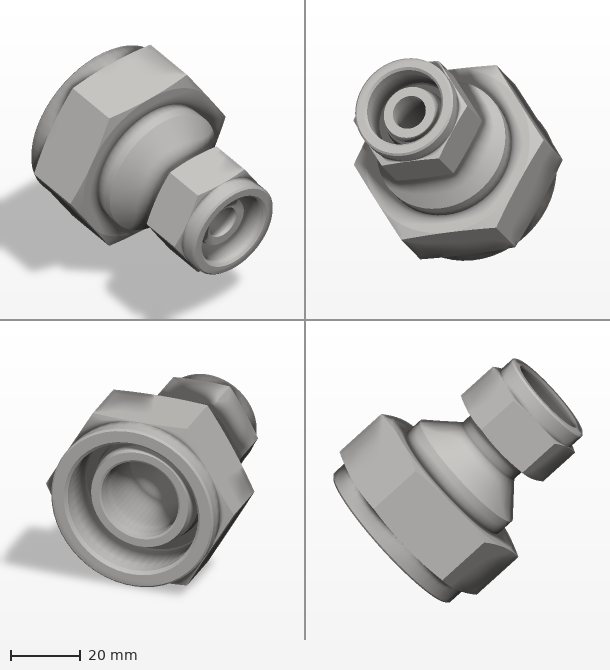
import cadquery as cq
import math

LENGTH = 61.65
THROUGH_BORE_RADIUS = 5.0
SEAT_HALF_ANGLE = math.radians(12)
HEX_CHAMFER_ANGLE = math.radians(15)
THREAD_RUNOUT = 0.45

LARGE_BARREL_RADIUS = 19.55
SMALL_BARREL_RADIUS = 11.0
TAPER_START = 29.45
TAPER_LENGTH = LARGE_BARREL_RADIUS - SMALL_BARREL_RADIUS
LARGE_BORE_RADIUS = 11.85
LARGE_BORE_END = TAPER_START
BORE_BOTTOM_HALF_ANGLE = math.radians(60)
LARGE_BORE_CHAMFER_WIDTH = 0.6
LARGE_BORE_CHAMFER_DEPTH = 0.4

LARGE_TIP_RADIUS = 14.85
LARGE_TIP_DEPTH = 6.2
LARGE_SHOULDER_DEPTH = 15.15
LARGE_GROOVE_START = 3.3
LARGE_GROOVE_WIDTH = 2.45
LARGE_GROOVE_FLOOR_RADIUS = 14.55

SMALL_TIP_RADIUS = 7.75
SMALL_TIP_DEPTH = 4.95
SMALL_SHOULDER_DEPTH = 11.7
SMALL_GROOVE_START = 2.2
SMALL_GROOVE_WIDTH = 2.0
SMALL_GROOVE_FLOOR_RADIUS = 7.4

LARGE_ACROSS_FLATS = 50.0
LARGE_NUT_LENGTH = 24.05
LARGE_COLLAR_LENGTH = 5.55
LARGE_COLLAR_RADIUS = 24.9
LARGE_THREAD_RADIUS = 20.0
LARGE_ENTRY_RADIUS = 20.9

SMALL_ACROSS_FLATS = 30.0
SMALL_NUT_LENGTH = 18.9
SMALL_COLLAR_LENGTH = 5.1
SMALL_COLLAR_RADIUS = 14.9
SMALL_THREAD_RADIUS = 11.35
SMALL_ENTRY_RADIUS = 12.0

COLLAR_CHAMFER = 0.55


def revolve_about_x(points):
    """Turn a closed outline of (x, radius) points about the X axis."""
    return cq.Workplane("XY").polyline(points).close().revolve(360, (0, 0, 0), (1, 0, 0))


def place_at_far_end(shape):
    """Turn a shape built for the -X end around so that it serves the +X end."""
    return shape.rotate((0, 0, 0), (0, 0, 1), 180).translate((LENGTH, 0, 0))


def make_sealing_cone(tip_radius, tip, shoulder, groove_start, groove_width, groove_floor):
    """Cone that widens from its tip to the barrel shoulder, with a seal groove around it."""
    def cone_radius(x):
        return tip_radius + (x - tip) * math.tan(SEAT_HALF_ANGLE)

    groove_near = tip + groove_start
    groove_far = groove_near + groove_width
    return revolve_about_x([
        (tip, 0),
        (tip, tip_radius),
        (groove_near, cone_radius(groove_near)),
        (groove_near, groove_floor),
        (groove_far, groove_floor),
        (groove_far, cone_radius(groove_far)),
        (shoulder, cone_radius(shoulder)),
        (shoulder, 0),
    ])


def make_barrel():
    """Two cylinders joined by a 45 degree taper, ending at the two shoulders."""
    taper_end = TAPER_START + TAPER_LENGTH
    small_shoulder = LENGTH - SMALL_SHOULDER_DEPTH
    return revolve_about_x([
        (LARGE_SHOULDER_DEPTH, 0),
        (LARGE_SHOULDER_DEPTH, LARGE_BARREL_RADIUS),
        (TAPER_START, LARGE_BARREL_RADIUS),
        (taper_end, SMALL_BARREL_RADIUS),
        (small_shoulder, SMALL_BARREL_RADIUS),
        (small_shoulder, 0),
    ])


def make_body_bore():
    """Chamfered large bore with a drill-point bottom that leads into the smaller through bore."""
    bottom_length = (LARGE_BORE_RADIUS - THROUGH_BORE_RADIUS) / math.tan(BORE_BOTTOM_HALF_ANGLE)
    return revolve_about_x([
        (LARGE_TIP_DEPTH, 0),
        (LARGE_TIP_DEPTH, LARGE_BORE_RADIUS + LARGE_BORE_CHAMFER_WIDTH),
        (LARGE_TIP_DEPTH + LARGE_BORE_CHAMFER_DEPTH, LARGE_BORE_RADIUS),
        (LARGE_BORE_END, LARGE_BORE_RADIUS),
        (LARGE_BORE_END + bottom_length, THROUGH_BORE_RADIUS),
        (LENGTH, THROUGH_BORE_RADIUS),
        (LENGTH, 0),
    ])


def make_body():
    large_cone = make_sealing_cone(
        LARGE_TIP_RADIUS, LARGE_TIP_DEPTH, LARGE_SHOULDER_DEPTH,
        LARGE_GROOVE_START, LARGE_GROOVE_WIDTH, LARGE_GROOVE_FLOOR_RADIUS)
    small_cone = make_sealing_cone(
        SMALL_TIP_RADIUS, SMALL_TIP_DEPTH, SMALL_SHOULDER_DEPTH,
        SMALL_GROOVE_START, SMALL_GROOVE_WIDTH, SMALL_GROOVE_FLOOR_RADIUS)
    solid_body = make_barrel().union(large_cone).union(place_at_far_end(small_cone))
    return solid_body.cut(make_body_bore())


def make_hexagon(across_flats, start, end):
    """Hexagonal bar with flats facing +Z and -Z and its corners chamfered at both ends."""
    flat_radius = across_flats / 2
    corner_radius = flat_radius / math.cos(math.pi / 6)
    chamfer_length = (corner_radius - flat_radius) * math.tan(HEX_CHAMFER_ANGLE)
    bar = (
        cq.Workplane("YZ", origin=(start, 0, 0))
        .polygon(6, 2 * corner_radius)
        .extrude(end - start)
    )
    chamfer_envelope = revolve_about_x([
        (start, 0),
        (start, flat_radius),
        (start + chamfer_length, corner_radius),
        (end - chamfer_length, corner_radius),
        (end, flat_radius),
        (end, 0),
    ])
    return bar.intersect(chamfer_envelope)


def make_nut(across_flats, length, collar_length, collar_radius,
             entry_radius, thread_radius, thread_depth, barrel_radius):
    """Union nut with its open collar face at x = 0 and its hexagon toward +X."""
    collar = revolve_about_x([
        (0, 0),
        (0, collar_radius - COLLAR_CHAMFER),
        (COLLAR_CHAMFER, collar_radius),
        (collar_length, collar_radius),
        (collar_length, 0),
    ])
    entry_chamfer = entry_radius - thread_radius
    opening = revolve_about_x([
        (0, 0),
        (0, entry_radius),
        (entry_chamfer, thread_radius),
        (thread_depth - THREAD_RUNOUT, thread_radius),
        (thread_depth, barrel_radius),
        (length, barrel_radius),
        (length, 0),
    ])
    return collar.union(make_hexagon(across_flats, collar_length, length)).cut(opening)


body = make_body()

large_nut = make_nut(
    LARGE_ACROSS_FLATS, LARGE_NUT_LENGTH, LARGE_COLLAR_LENGTH, LARGE_COLLAR_RADIUS,
    LARGE_ENTRY_RADIUS, LARGE_THREAD_RADIUS, LARGE_SHOULDER_DEPTH, LARGE_BARREL_RADIUS)

small_nut = place_at_far_end(make_nut(
    SMALL_ACROSS_FLATS, SMALL_NUT_LENGTH, SMALL_COLLAR_LENGTH, SMALL_COLLAR_RADIUS,
    SMALL_ENTRY_RADIUS, SMALL_THREAD_RADIUS, SMALL_SHOULDER_DEPTH, SMALL_BARREL_RADIUS))

result = cq.Compound.makeCompound([body.val(), large_nut.val(), small_nut.val()])